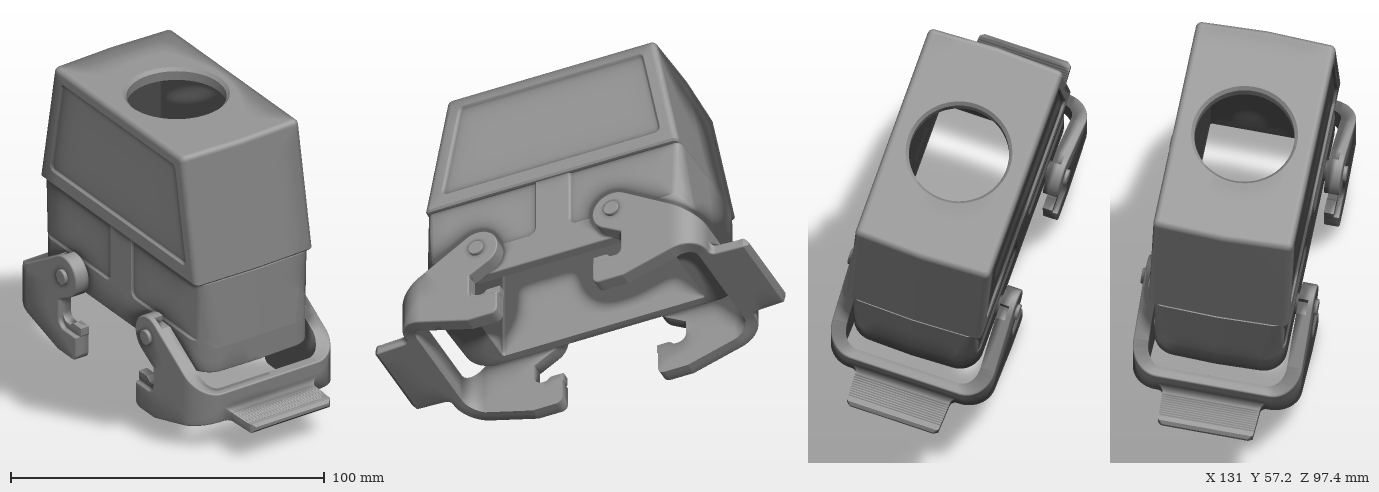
import cadquery as cq
import math

HOOD_TOP = 75.5
LIP_Z = 32.0
STRAIGHT_TOP_Z = 8.9
UPPER_HALF_Y = 22.6
UPPER_TOP_HALF_X = 37.2
UPPER_LIP_HALF_X = 45.0
END_CROWN = 0.7
TOP_END_CROWN = 0.9
UPPER_ROUND = 1.8
LIP_CHAMFER = 0.7
LOWER_HALF_X = 46.9
LOWER_HALF_Y = 21.5
LOWER_CORNER_R = 7.6
LOWER_TOP_CORNER_R = 3.5
BASE_ROUND = 0.5

WINDOW_BOTTOM_Z = 36.9
WINDOW_TOP_Z = 71.2
WINDOW_BOTTOM_HALF_X = 38.6
WINDOW_TOP_HALF_X = 32.2
WINDOW_CORNER_R = 2.0
WINDOW_DEPTH = 0.8
WINDOW_FLOOR_ROUND = 0.4

PANEL_BOTTOM_Z = 10.6
PANEL_INNER_X = 5.8
PANEL_CORNER_R = 2.6
PANEL_DEPTH = 0.7
PANEL_END_ROUND = 2.0
RECESS_TAPER = 45

CABLE_HOLE_D = 32.0
CABLE_HOLE_CHAMFER = 1.0
TOP_WALL = 4.2
CAVITY_HALF_X = 35.5
CAVITY_HALF_Y = 18.0
CAVITY_CORNER_R = 0.8

PIVOT_X = 23.7
PIVOT_Z = 6.2
PIN_D = 5.1
PIN_END_Y = 28.6
PIN_CHAMFER = 0.2
BOSS_D = 7.0

ARM_INNER_Y = 22.5
ARM_OUTER_Y = 27.4
HUB_R = 7.1
BAR_OUTER_X = -53.0
BAR_THICKNESS = 3.5
BAR_TOP_Z = -3.8
BAR_BOTTOM_Z = -14.1
BEND_X = -44.0
BEND_OUTER_R = BEND_X - BAR_OUTER_X
BEND_INNER_R = BEND_OUTER_R - BAR_THICKNESS
EDGE_ROUND = 0.5

HOOK_BOTTOM_Z = -21.9
HOOK_HEEL_X = -27.2
HOOK_END_X = -16.8
HOOK_CORNER_R = 2.4
SLOT_WALL_X = -26.6
SLOT_TOP_Z = -3.7
SLOT_FLOOR_Z = -13.2
SLOT_CORNER_R = 2.9

CATCH_THICKNESS = 3.1
CATCH_FLOOR_Z = -11.4
CATCH_TOP_Z = -10.1
CATCH_END_X = -16.4
CATCH_FLOOR_END_X = -22.8
CATCH_RISE_END_X = -20.4

NOTCH_FLOOR_Z = 11.0
NOTCH_LENGTH = 7.9
NOTCH_END_X = -25.0

HANDLE_TIP_X = -65.5
HANDLE_TOP_Z = -10.9
HANDLE_ROOT_HALF_Y = 16.0
HANDLE_TIP_HALF_Y = 15.3
HANDLE_TIP_CHAMFER = 1.3
HANDLE_NOSE_CHAMFER = 0.9
HANDLE_ROOT_ROUND = 1.8
GROOVE_START_X = -63.1
GROOVE_PITCH = 0.8
GROOVE_DEPTH = 0.2
GROOVE_COUNT = 10

SIDES = (-1, 1)
TOLERANCE = 0.01


def crowned_outline(half_x, half_y, crown=END_CROWN):
    """Rectangle whose two short ends rise slightly to the middle."""
    corner_x = half_x - crown
    return [(-half_x, 0), (-corner_x, -half_y), (corner_x, -half_y),
            (half_x, 0), (corner_x, half_y), (-corner_x, half_y)]


def is_upper_corner(edge):
    """True for the four leaning corner edges of the upper part."""
    start, end = edge.positionAt(0), edge.positionAt(1)
    return abs(start.y) > TOLERANCE and abs(start.z - end.z) > TOLERANCE


def hood_upper():
    body = (
        cq.Workplane("XY", origin=(0, 0, LIP_Z))
        .polyline(crowned_outline(UPPER_LIP_HALF_X, UPPER_HALF_Y)).close()
        .workplane(offset=HOOD_TOP - LIP_Z)
        .polyline(crowned_outline(UPPER_TOP_HALF_X, UPPER_HALF_Y, TOP_END_CROWN)).close()
        .loft(ruled=True, combine=True)
    )
    corners = [edge for edge in body.edges().vals() if is_upper_corner(edge)]
    body = body.newObject(corners + body.edges(">Z").vals()).fillet(UPPER_ROUND)
    return body.faces("<Z").edges("|X").chamfer(LIP_CHAMFER)


def rounded_section(half_x, half_y, radius, z):
    points = crowned_outline(half_x, half_y)
    sketch = cq.Sketch().polygon(points + points[:1]).vertices(">Y or <Y").fillet(radius)
    return sketch.moved(cq.Location(cq.Vector(0, 0, z)))


def hood_lower():
    base = rounded_section(LOWER_HALF_X, LOWER_HALF_Y, LOWER_CORNER_R, 0)
    band = cq.Workplane("XY").placeSketch(base).extrude(STRAIGHT_TOP_Z)
    band = band.faces("<Z").edges().fillet(BASE_ROUND)
    skirt = (
        cq.Workplane("XY")
        .placeSketch(
            rounded_section(LOWER_HALF_X, LOWER_HALF_Y, LOWER_CORNER_R, STRAIGHT_TOP_Z),
            rounded_section(UPPER_LIP_HALF_X, LOWER_HALF_Y, LOWER_TOP_CORNER_R, LIP_Z),
        )
        .loft(ruled=True)
    )
    return band.union(skirt)


def tapered_recess(outline_points, corner_r, face_y, depth, side):
    """Cutter for a recess with sloping walls in the face at y = side * face_y."""
    wire = cq.Workplane("XZ").polyline(outline_points).close().extrude(1.3)
    wire = wire.edges("|Y").fillet(corner_r).faces(">Y").wires().val()
    cutter = cq.Workplane("XZ").add(wire).toPending().extrude(-depth, taper=RECESS_TAPER)
    cutter = cutter.translate((0, -face_y, 0))
    return cutter if side < 0 else cutter.mirror("XZ")


def window_recess(side):
    points = [(-WINDOW_BOTTOM_HALF_X, WINDOW_BOTTOM_Z), (WINDOW_BOTTOM_HALF_X, WINDOW_BOTTOM_Z),
              (WINDOW_TOP_HALF_X, WINDOW_TOP_Z), (-WINDOW_TOP_HALF_X, WINDOW_TOP_Z)]
    cutter = tapered_recess(points, WINDOW_CORNER_R, UPPER_HALF_Y, WINDOW_DEPTH, side)
    floor = "<Y" if side > 0 else ">Y"
    return cutter.faces(floor).edges().fillet(WINDOW_FLOOR_ROUND)


def panel_recess(side, end):
    """Recess below the lip that runs out through the rounded corner of the hood."""
    inner, outer = end * PANEL_INNER_X, end * (LOWER_HALF_X + PANEL_CORNER_R)
    top = LIP_Z + PANEL_CORNER_R
    points = [(inner, PANEL_BOTTOM_Z), (outer, PANEL_BOTTOM_Z), (outer, top), (inner, top)]
    return tapered_recess(points, PANEL_CORNER_R, LOWER_HALF_Y, PANEL_DEPTH, side)


def pivot(side, end):
    """Boss and pin on a long wall of the hood, on which a lever turns."""
    foot = (end * PIVOT_X, side * CAVITY_HALF_Y, PIVOT_Z)
    plane = cq.Plane(origin=foot, xDir=(1, 0, 0), normal=(0, side, 0))
    boss = cq.Workplane(plane).circle(BOSS_D / 2).extrude(ARM_INNER_Y - CAVITY_HALF_Y)
    pin = cq.Workplane(plane).circle(PIN_D / 2).extrude(PIN_END_Y - CAVITY_HALF_Y)
    tip = ">Y" if side > 0 else "<Y"
    return boss.union(pin.faces(tip).edges().chamfer(PIN_CHAMFER))


def panel_end_edges(lower):
    """Upright edges where the panel floors run out into the rounded corners of the hood."""
    floor_y = LOWER_HALF_Y - PANEL_DEPTH
    half_length = (LIP_Z - PANEL_BOTTOM_Z) / 2
    chosen = []
    for edge in lower.edges().vals():
        start, end = edge.positionAt(0), edge.positionAt(1)
        on_floor = all(abs(abs(point.y) - floor_y) < TOLERANCE for point in (start, end))
        at_end = abs(start.x) > LOWER_HALF_X / 2
        if on_floor and at_end and abs(start.z - end.z) > half_length:
            chosen.append(edge)
    return chosen


def make_hood():
    lower = hood_lower()
    for side in SIDES:
        for end in SIDES:
            lower = lower.cut(panel_recess(side, end))
    lower = lower.newObject(panel_end_edges(lower)).fillet(PANEL_END_ROUND)
    hood = lower.union(hood_upper())
    for side in SIDES:
        hood = hood.cut(window_recess(side))
    cavity = (
        cq.Workplane("XY").rect(2 * CAVITY_HALF_X, 2 * CAVITY_HALF_Y)
        .extrude(HOOD_TOP - TOP_WALL).edges("|Z").fillet(CAVITY_CORNER_R)
    )
    hood = hood.cut(cavity)
    hood = hood.faces(">Z").workplane(origin=(0, 0, HOOD_TOP)).cskHole(
        CABLE_HOLE_D, CABLE_HOLE_D + 2 * CABLE_HOLE_CHAMFER, 90, depth=2 * TOP_WALL)
    for side in SIDES:
        for end in SIDES:
            hood = hood.union(pivot(side, end))
    return hood


def hub_tangent_point(x, z, turn):
    """Point where the line from (x, z) touches the hub circle, on the side given by turn."""
    dx, dz = -PIVOT_X - x, PIVOT_Z - z
    distance = math.hypot(dx, dz)
    reach = math.sqrt(distance ** 2 - HUB_R ** 2)
    angle = math.atan2(dz, dx) + turn * math.asin(HUB_R / distance)
    return x + reach * math.cos(angle), z + reach * math.sin(angle)


UPPER_TANGENT = hub_tangent_point(BAR_OUTER_X, BAR_TOP_Z, 1)
LOWER_TANGENT = hub_tangent_point(SLOT_WALL_X, SLOT_TOP_Z, -1)
TOP_SLOPE = (UPPER_TANGENT[1] - BAR_TOP_Z) / (UPPER_TANGENT[0] - BAR_OUTER_X)
BOTTOM_SLOPE = (HOOK_BOTTOM_Z - BAR_BOTTOM_Z) / (HOOK_HEEL_X - BAR_OUTER_X)


def edge_heights(x):
    """Heights of the sloping lower and upper edges of the lever at x."""
    run = x - BAR_OUTER_X
    return BAR_BOTTOM_Z + BOTTOM_SLOPE * run, BAR_TOP_Z + TOP_SLOPE * run


def arm_layer(inner_y, outer_y, slot_floor):
    """Straight part of an arm between two y values on the -Y side."""
    bend_bottom, bend_top = edge_heights(BEND_X)
    hub_far = (HUB_R - PIVOT_X, PIVOT_Z)
    outline = (
        cq.Workplane("XZ", origin=(0, -inner_y, 0))
        .moveTo(BEND_X, bend_bottom)
        .lineTo(BEND_X, bend_top)
        .lineTo(*UPPER_TANGENT)
        .threePointArc(hub_far, LOWER_TANGENT)
        .lineTo(SLOT_WALL_X, SLOT_TOP_Z)
        .lineTo(SLOT_WALL_X, slot_floor + SLOT_CORNER_R)
        .radiusArc((SLOT_WALL_X + SLOT_CORNER_R, slot_floor), -SLOT_CORNER_R)
    )
    if slot_floor > SLOT_FLOOR_Z:
        rise_mid = ((CATCH_FLOOR_END_X + CATCH_RISE_END_X) / 2, (CATCH_FLOOR_Z + CATCH_TOP_Z) / 2)
        outline = (
            outline.lineTo(CATCH_FLOOR_END_X, slot_floor)
            .spline([rise_mid, (CATCH_RISE_END_X, CATCH_TOP_Z)],
                    tangents=[(1, 0), (1, 0)], includeCurrent=True)
            .lineTo(CATCH_END_X, CATCH_TOP_Z)
            .lineTo(CATCH_END_X, SLOT_FLOOR_Z + EDGE_ROUND)
        )
    outline = (
        outline.lineTo(HOOK_END_X, SLOT_FLOOR_Z)
        .lineTo(HOOK_END_X, HOOK_BOTTOM_Z + HOOK_CORNER_R)
        .radiusArc((HOOK_END_X - HOOK_CORNER_R, HOOK_BOTTOM_Z), HOOK_CORNER_R)
        .lineTo(HOOK_HEEL_X, HOOK_BOTTOM_Z)
        .close()
    )
    return outline.extrude(outer_y - inner_y)


def make_arm():
    split_y = ARM_INNER_Y + CATCH_THICKNESS
    inner = arm_layer(ARM_INNER_Y, split_y, CATCH_FLOOR_Z)
    notch = cq.Workplane("XY").box(NOTCH_LENGTH, CATCH_THICKNESS, HUB_R, centered=False).translate(
        (NOTCH_END_X - NOTCH_LENGTH, -split_y, NOTCH_FLOOR_Z))
    outer = arm_layer(split_y, ARM_OUTER_Y, SLOT_FLOOR_Z)
    return inner.cut(notch).union(outer)


def bend_trim(upper):
    """Block bounded by the warped top or bottom surface of a bend."""
    steps = 8
    overlap = 0.2
    near, far = [], []
    for step in range(steps + 1):
        angle = math.pi / 2 * step / steps
        outer_x = BEND_X - BEND_OUTER_R * math.sin(angle)
        outer_y = BEND_OUTER_R - ARM_OUTER_Y - BEND_OUTER_R * math.cos(angle)
        inner_x = BEND_X - BEND_INNER_R * math.sin(angle)
        inner_y = BEND_INNER_R - ARM_INNER_Y - BEND_INNER_R * math.cos(angle)
        over_x, over_y = overlap * (outer_x - inner_x), overlap * (outer_y - inner_y)
        z = edge_heights(outer_x)[1 if upper else 0]
        far.append(cq.Vector(outer_x + over_x, outer_y + over_y, z))
        near.append(cq.Vector(inner_x - over_x, inner_y - over_y, z))
    face = cq.Face.makeRuledSurface(cq.Edge.makeSpline(near), cq.Edge.makeSpline(far))
    reach = 39.3 if upper else -39.3
    return cq.Workplane(cq.Solid.extrudeLinear(face, cq.Vector(0, 0, reach)))


def make_bend():
    diagonal = math.sqrt(0.5)
    outer_y, inner_y = BEND_OUTER_R - ARM_OUTER_Y, BEND_INNER_R - ARM_INNER_Y
    low, high = edge_heights(BEND_X)
    block = (
        cq.Workplane("XY", origin=(0, 0, low))
        .moveTo(BEND_X, -ARM_OUTER_Y)
        .threePointArc((BEND_X - diagonal * BEND_OUTER_R, outer_y - diagonal * BEND_OUTER_R),
                       (BAR_OUTER_X, outer_y))
        .lineTo(BAR_OUTER_X + BAR_THICKNESS, inner_y)
        .threePointArc((BEND_X - diagonal * BEND_INNER_R, inner_y - diagonal * BEND_INNER_R),
                       (BEND_X, -ARM_INNER_Y))
        .close()
        .extrude(high - low)
    )
    return block.cut(bend_trim(True)).cut(bend_trim(False))


def make_bar():
    outer_y, inner_y = ARM_OUTER_Y - BEND_OUTER_R, ARM_INNER_Y - BEND_INNER_R
    inner_x = BAR_OUTER_X + BAR_THICKNESS
    return (
        cq.Workplane("XY", origin=(0, 0, BAR_BOTTOM_Z))
        .polyline([(BAR_OUTER_X, -outer_y), (BAR_OUTER_X, outer_y), (inner_x, inner_y), (inner_x, -inner_y)])
        .close()
        .extrude(BAR_TOP_Z - BAR_BOTTOM_Z)
    )


def make_handle():
    plate = (
        cq.Workplane("XY", origin=(0, 0, BAR_BOTTOM_Z))
        .polyline([(BAR_OUTER_X, -HANDLE_ROOT_HALF_Y), (HANDLE_TIP_X, -HANDLE_TIP_HALF_Y),
                   (HANDLE_TIP_X, HANDLE_TIP_HALF_Y), (BAR_OUTER_X, HANDLE_ROOT_HALF_Y)])
        .close()
        .extrude(HANDLE_TOP_Z - BAR_BOTTOM_Z)
    )
    plate = plate.faces("<X").edges("not >Z").chamfer(HANDLE_TIP_CHAMFER)
    return plate.faces("<X").edges(">Z").chamfer(HANDLE_NOSE_CHAMFER)


def grip_grooves():
    half = GROOVE_PITCH / 2
    grooves = cq.Workplane("XZ", origin=(0, HANDLE_ROOT_HALF_Y + 1.3, 0))
    for index in range(GROOVE_COUNT):
        x = GROOVE_START_X + index * GROOVE_PITCH
        grooves = grooves.polyline([(x, HANDLE_TOP_Z), (x + half, HANDLE_TOP_Z - GROOVE_DEPTH),
                                    (x + 2 * half, HANDLE_TOP_Z)]).close()
    return grooves.extrude(2 * (HANDLE_ROOT_HALF_Y + 1.3))


def on_outer_wall(point):
    """True for a point on the outward-facing wall that runs round the bar, bends and arms."""
    bend_y = ARM_OUTER_Y - BEND_OUTER_R
    if point.x > BEND_X - TOLERANCE:
        return abs(abs(point.y) - ARM_OUTER_Y) < TOLERANCE
    if abs(point.y) < bend_y + TOLERANCE:
        return abs(point.x - BAR_OUTER_X) < TOLERANCE
    return abs(math.hypot(point.x - BEND_X, abs(point.y) - bend_y) - BEND_OUTER_R) < TOLERANCE


def is_outer_rim(edge):
    """True for edges around the outer wall, but not for the upright seams inside it."""
    start, middle = edge.positionAt(0), edge.positionAt(0.5)
    is_seam = abs(start.x - middle.x) < TOLERANCE and abs(start.y - middle.y) < TOLERANCE \
        and middle.x < BEND_X + TOLERANCE
    return not is_seam and on_outer_wall(start) and on_outer_wall(middle)


def make_handle_bar():
    """End bar of the lever with the handle blended into it."""
    root = cq.selectors.BoxSelector(
        (BAR_OUTER_X - 0.1, -HANDLE_ROOT_HALF_Y - 0.1, BAR_BOTTOM_Z + 0.1),
        (BAR_OUTER_X + 0.1, HANDLE_ROOT_HALF_Y + 0.1, HANDLE_TOP_Z + 0.1))
    return make_bar().union(make_handle()).edges(root).fillet(HANDLE_ROOT_ROUND)


def make_lever():
    arm, bend = make_arm(), make_bend()
    lever = make_handle_bar()
    for piece in (bend, arm):
        lever = lever.union(piece).union(piece.mirror("XZ"))
    rim = [edge for edge in lever.edges().vals() if is_outer_rim(edge)]
    lever = lever.newObject(rim).fillet(EDGE_ROUND)
    pin_holes = (
        cq.Workplane("XZ", origin=(-PIVOT_X, 0, PIVOT_Z))
        .circle(PIN_D / 2).extrude(PIN_END_Y, both=True)
    )
    return lever.cut(grip_grooves()).cut(pin_holes)


hood = make_hood()
lever = make_lever()
result = cq.Compound.makeCompound([hood.val(), lever.val(), lever.mirror("YZ").val()])